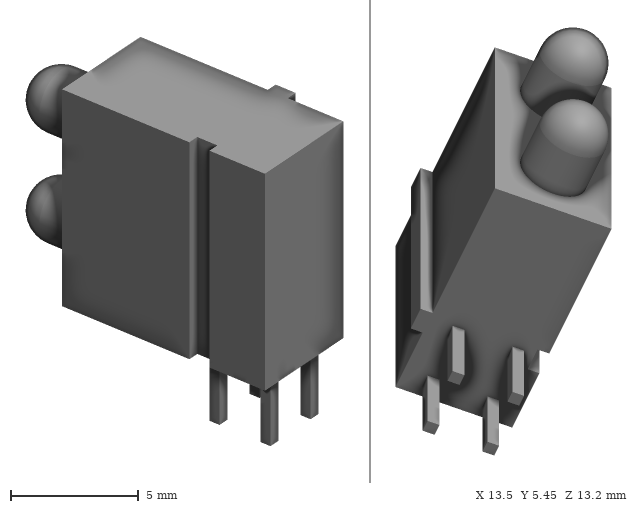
import cadquery as cq

overall_length = 13.49

housing_length = 10.1
housing_width = 4.95
housing_height = 10.0

rib_start = 6.34
rib_width = 1.0
rib_depth = 0.5

led_radius = 1.4
led_projection = overall_length - housing_length
led_pitch = 5.09
lower_led_height = (housing_height - led_pitch) / 2

pin_size = 0.5
pin_length = 3.21
pin_pitch = 2.54
rear_pin_inset = 0.73


def make_upright_bar(y_start):
    """Full-height bar with the section of the rib, starting at y_start."""
    return cq.Workplane("XY").box(
        rib_width, rib_depth, housing_height, centered=False
    ).translate((rib_start, y_start, 0))


def make_housing():
    """Block with a rib on one side and a groove on the other."""
    block = cq.Workplane("XY").box(
        housing_length, housing_width, housing_height, centered=(False, True, False)
    )
    rib = make_upright_bar(housing_width / 2)
    groove = make_upright_bar(-housing_width / 2)
    return block.union(rib).cut(groove)


def make_led(height):
    """Round-nosed LED lying along X, its flat end on the front face."""
    dome_start = -(led_projection - led_radius)
    half_profile = (
        cq.Workplane("XY")
        .moveTo(0, 0)
        .lineTo(0, led_radius)
        .lineTo(dome_start, led_radius)
        .radiusArc((-led_projection, 0), -led_radius)
        .close()
    )
    return half_profile.revolve(360, (0, 0, 0), (1, 0, 0)).translate((0, 0, height))


def make_pin(x, y):
    """Square pin hanging from the underside of the housing."""
    return cq.Workplane("XY").center(x, y).rect(pin_size, pin_size).extrude(-pin_length)


housing = make_housing()
leds = [make_led(height) for height in (lower_led_height, lower_led_height + led_pitch)]

rear_pin_x = housing_length - rear_pin_inset
pins = []
for x in (rear_pin_x - pin_pitch, rear_pin_x):
    for y in (-pin_pitch / 2, pin_pitch / 2):
        pins.append(make_pin(x, y))

result = cq.Compound.makeCompound([body.val() for body in [housing, *leds, *pins]])